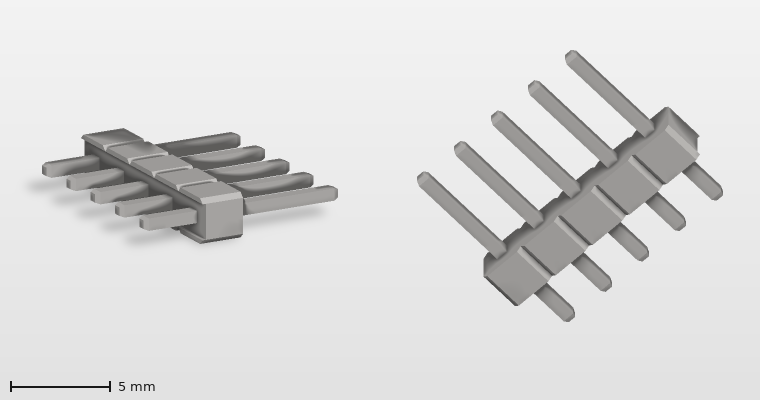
import cadquery as cq

module_count = 5
pitch = 2.54

block_width = pitch
block_length = 2.31
block_height = 2.4
block_chamfer = 0.25
front_recess = 0.2
side_height = block_height - 2 * block_chamfer

pin_side = 0.65
front_pin_length = 2.8
rear_pin_length = 6.0
tip_length = 0.25
tip_inset = 0.1
tip_side = pin_side - 2 * tip_inset

pin_front = -front_pin_length
pin_rear = block_length + rear_pin_length


def make_block():
    """Block with its four long edges chamfered and its front face set back between two lips."""
    block = (
        cq.Workplane("XY")
        .box(block_width, block_length, block_height)
        .edges("|Y")
        .chamfer(block_chamfer)
        .translate((0, block_length / 2, 0))
    )
    recess = (
        cq.Workplane("XY")
        .box(block_width, front_recess, side_height)
        .translate((0, front_recess / 2, 0))
    )
    return block.cut(recess)


def make_tip(base_y, direction):
    """Tapered pin end that narrows from base_y; direction is +1 toward +Y or -1 toward -Y."""
    plane = cq.Plane(origin=(0, base_y, 0), xDir=(1, 0, 0), normal=(0, direction, 0))
    return (
        cq.Workplane(plane)
        .rect(pin_side, pin_side)
        .workplane(offset=tip_length)
        .rect(tip_side, tip_side)
        .loft(ruled=True)
    )


def make_pin():
    """Square pin with a tapered tip at each end."""
    shank_front = pin_front + tip_length
    shank_rear = pin_rear - tip_length
    shank = (
        cq.Workplane("XY")
        .box(pin_side, shank_rear - shank_front, pin_side)
        .translate((0, (shank_front + shank_rear) / 2, 0))
    )
    return shank.union(make_tip(shank_front, -1)).union(make_tip(shank_rear, 1))


def make_module(center_x):
    """One module: a block and its pin as a single solid."""
    return make_block().union(make_pin()).translate((center_x, 0, 0))


first_x = -pitch * (module_count - 1) / 2
modules = [make_module(first_x + index * pitch) for index in range(module_count)]

result = cq.Compound.makeCompound([module.val() for module in modules])